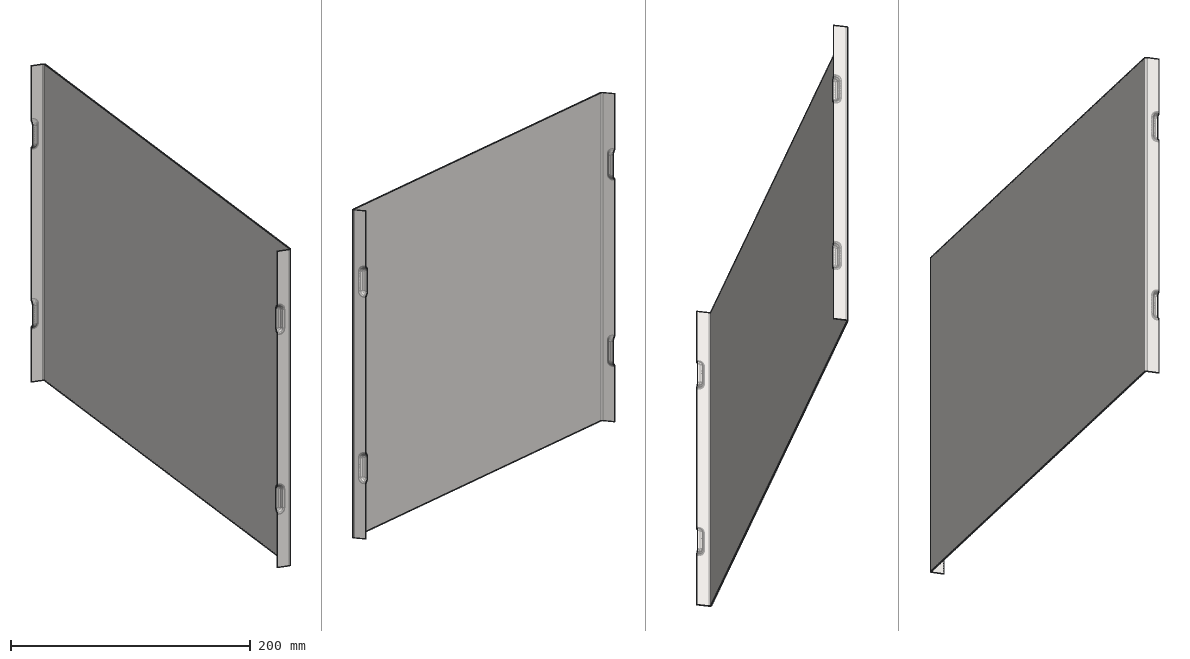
import cadquery as cq
import math

length = 504.0
depth = 12.5
height = 280.0
sheet = 1.0
bend_radius = 2.0

stop_height = 24.5
stop_depth = 5.5
stop_corner = 4.0
stop_press = 3.0
stop_draft = 40.0
stop_from_end = 60.5
hollow_crown = 2.0
stop_foot = 1.0
stop_crown = hollow_crown + sheet
stop_entry = stop_foot + sheet

flange_outside = -length / 2
flange_inside = flange_outside + sheet
front = -depth / 2
stop_levels = (height / 2 - stop_from_end, stop_from_end - height / 2)

lean = math.radians(stop_draft)
wall_growth = sheet * (1 / math.cos(lean) - math.tan(lean))


def channel_block(inset, radius):
    """Block with two rounded back edges, held in from the sides and the back, open to the front."""
    block = (
        cq.Workplane("XY")
        .box(length - 2 * inset, depth - inset, height)
        .translate((0, -inset / 2, 0))
    )
    return block.edges("|Z and >Y").fillet(radius)


def stop_dome(level, base_x, growth, crown):
    """Drafted bulge rising from base_x and centered on the free edge of the -X flange."""
    outline = (
        cq.Sketch()
        .rect(2 * (stop_depth + growth), stop_height + 2 * growth)
        .vertices()
        .fillet(stop_corner + growth)
    )
    dome = (
        cq.Workplane("YZ", origin=(base_x, front, level))
        .placeSketch(outline)
        .extrude(stop_press, taper=stop_draft)
    )
    return dome.faces(">X").edges().fillet(crown)


def round_stop_outline(body, level, plane_x, radius):
    """Round the edges where the stop at this level meets the flange surface at plane_x."""
    margin = sheet / 4
    outline = cq.selectors.BoxSelector(
        (plane_x - margin, front + margin, level - stop_height),
        (plane_x + margin, front + 2 * stop_depth, level + stop_height),
    )
    return body.edges(outline).fillet(radius)


channel_outside = channel_block(0, bend_radius)
panel = channel_outside.cut(channel_block(sheet, bend_radius - sheet))

for level in stop_levels:
    bulge = stop_dome(level, flange_inside, wall_growth, stop_crown)
    panel = panel.union(bulge.intersect(channel_outside))
    panel = round_stop_outline(panel, level, flange_inside, stop_foot)
    panel = panel.cut(stop_dome(level, flange_outside, 0, hollow_crown))
    panel = round_stop_outline(panel, level, flange_outside, stop_entry)

left_half = panel.intersect(
    cq.Workplane("XY").box(length / 2, depth, height).translate((-length / 4, 0, 0))
)
result = left_half.union(left_half.mirror("YZ")).clean()